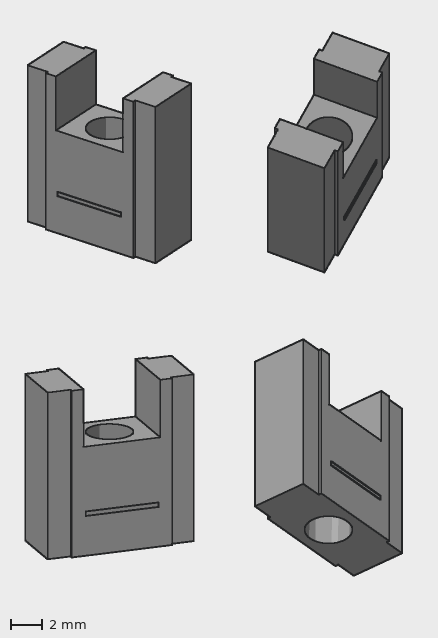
import cadquery as cq

total_width = 10.05
total_depth = 4.55
height = 11.3

body_width = 6.89
body_depth = 4.45
wing_depth = 4.0

slot_width = 5.27
slot_depth = 3.9
hole_diameter = 3.06

bar_width = 5.0
bar_height = 0.3
bar_bottom = 2.71


def centred_block(width, depth, block_height, bottom=0):
    """Block centred on the Z axis, standing on the given level."""
    return (
        cq.Workplane("XY")
        .workplane(offset=bottom)
        .box(width, depth, block_height, centered=(True, True, False))
    )


wings = centred_block(total_width, wing_depth, height)
body = centred_block(body_width, body_depth, height)

bars = centred_block(bar_width, total_depth, bar_height, bar_bottom)

slot = centred_block(slot_width, total_depth, slot_depth, height - slot_depth)
hole = cq.Workplane("XY").circle(hole_diameter / 2).extrude(height)

result = wings.union(body).union(bars).cut(slot).cut(hole)